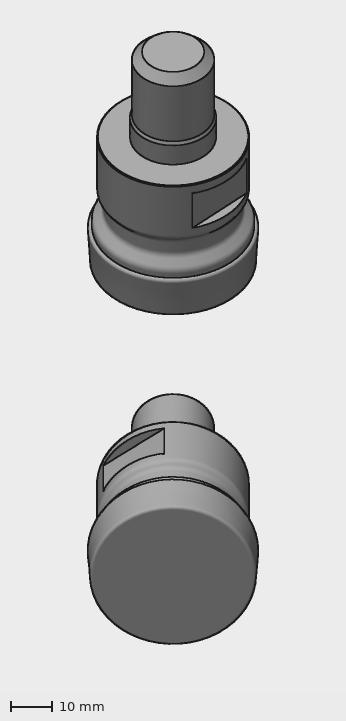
import cadquery as cq
import math

cap_height = 11.7
cap_bottom_radius = 20.2
cap_top_radius = 20.8
cap_rim_round = 0.8

land_radius = 19.75
neck_radius = 16.985
collar_radius = 37.0 / 2
guide_radius = 21.0 / 2
shank_radius = 20.0 / 2
land_top = 13.1
collar_bottom = 23.9
collar_top = 39.9
collar_chamfer = 0.3
guide_top = 46.0
shank_bottom = 47.0
total_height = 67
shank_chamfer = 2.5

shoulder_round = 2.0
arc_rise = shoulder_round * math.sin(math.radians(45))
arc_inset = shoulder_round - arc_rise
half_arc_rise = shoulder_round * math.sin(math.radians(22.5))
half_arc_inset = shoulder_round * (1 - math.cos(math.radians(22.5)))

flat_spacing = 32.0
flat_bottom = 26.05
flat_top = 37.05


def shoulder_height(outer_radius):
    """Height from an outer cylinder to the neck, along two arcs and a 45 degree cone."""
    cone_run = outer_radius - neck_radius - 2 * arc_inset
    return 2 * arc_rise + cone_run


def make_cap():
    profile = (
        cq.Workplane("XZ")
        .lineTo(cap_bottom_radius, 0)
        .lineTo(cap_top_radius, cap_height)
        .lineTo(0, cap_height)
        .close()
    )
    cap = profile.revolve(360, (0, 0, 0), (0, 1, 0))
    return cap.faces("<Z or >Z").edges().fillet(cap_rim_round)


def make_turned_spindle():
    neck_bottom = land_top + shoulder_height(land_radius)
    neck_top = collar_bottom - shoulder_height(collar_radius)
    profile = (
        cq.Workplane("XZ")
        .moveTo(0, cap_height)
        .lineTo(land_radius, cap_height)
        .lineTo(land_radius, land_top)
        .threePointArc(
            (land_radius - half_arc_inset, land_top + half_arc_rise),
            (land_radius - arc_inset, land_top + arc_rise),
        )
        .lineTo(neck_radius + arc_inset, neck_bottom - arc_rise)
        .threePointArc(
            (neck_radius + half_arc_inset, neck_bottom - half_arc_rise),
            (neck_radius, neck_bottom),
        )
        .lineTo(neck_radius, neck_top)
        .threePointArc(
            (neck_radius + half_arc_inset, neck_top + half_arc_rise),
            (neck_radius + arc_inset, neck_top + arc_rise),
        )
        .lineTo(collar_radius - arc_inset, collar_bottom - arc_rise)
        .threePointArc(
            (collar_radius - half_arc_inset, collar_bottom - half_arc_rise),
            (collar_radius, collar_bottom),
        )
        .lineTo(collar_radius, collar_top - collar_chamfer)
        .lineTo(collar_radius - collar_chamfer, collar_top)
        .lineTo(guide_radius, collar_top)
        .lineTo(guide_radius, guide_top)
        .lineTo(shank_radius, shank_bottom)
        .lineTo(shank_radius, total_height - shank_chamfer)
        .lineTo(shank_radius - shank_chamfer, total_height)
        .lineTo(0, total_height)
        .close()
    )
    return profile.revolve(360, (0, 0, 0), (0, 1, 0))


def make_flat_cutter(side):
    """Block that removes everything beyond one flat; side is -1 or +1 along X."""
    return cq.Workplane("XY").box(
        collar_radius, 2 * collar_radius, flat_top - flat_bottom
    ).translate(
        (side * (flat_spacing + collar_radius) / 2, 0, (flat_bottom + flat_top) / 2)
    )


cap = make_cap()
spindle = make_turned_spindle()
for side in (-1, 1):
    spindle = spindle.cut(make_flat_cutter(side))

result = cq.Compound.makeCompound([cap.val(), spindle.val()])